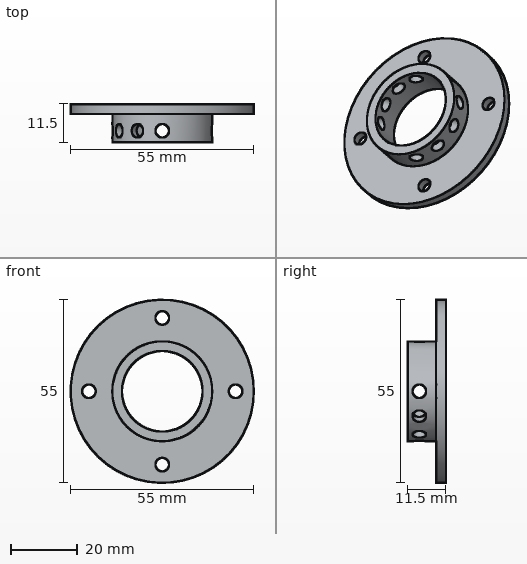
import cadquery as cq

flange_diameter = 55.0
flange_thickness = 3.0
hub_diameter = 30.0
total_length = 11.5
bore_diameter = 24.1
hole_diameter = 4.0

mounting_hole_count = 4
mounting_circle_diameter = 44.0

cross_drill_count = 4
cross_drill_step = 30.0
cross_hole_end_distance = 3.5

hub_length = total_length - flange_thickness
cross_hole_y = -hub_length + cross_hole_end_distance


def cylinder_along_y(diameter, y_start, y_end):
    """Cylinder centred on the part axis, between two Y positions."""
    base = cq.Workplane("XZ", origin=(0, y_end, 0))
    return base.circle(diameter / 2).extrude(y_end - y_start)


def make_body():
    """Round flange with a coaxial hub and a bore through both."""
    flange = cylinder_along_y(flange_diameter, 0, flange_thickness)
    hub = cylinder_along_y(hub_diameter, -hub_length, 0)
    bore = cylinder_along_y(bore_diameter, -hub_length, flange_thickness)
    return flange.union(hub).cut(bore)


def cut_mounting_holes(body):
    """Evenly spaced holes through the flange, on the X and Z axes."""
    holes = (
        cq.Workplane("XZ", origin=(0, flange_thickness, 0))
        .polarArray(mounting_circle_diameter / 2, 0, 360, mounting_hole_count)
        .circle(hole_diameter / 2)
        .extrude(flange_thickness)
    )
    return body.cut(holes)


def cut_cross_holes(body):
    """Drills across the hub, turning from the X axis to the Z axis."""
    drill = (
        cq.Workplane("YZ", origin=(0, cross_hole_y, 0))
        .circle(hole_diameter / 2)
        .extrude(hub_diameter / 2, both=True)
    )
    for index in range(cross_drill_count):
        turned_drill = drill.rotate((0, 0, 0), (0, 1, 0), index * cross_drill_step)
        body = body.cut(turned_drill)
    return body


result = cut_cross_holes(cut_mounting_holes(make_body()))